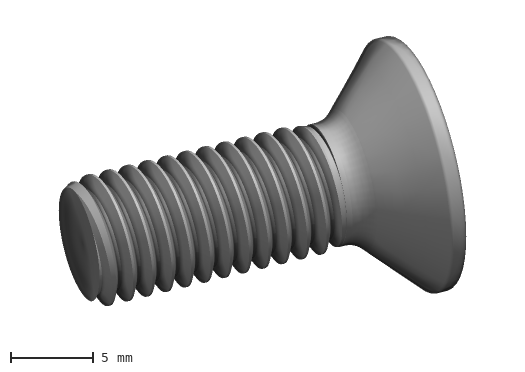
import cadquery as cq
import math

length = 22.0

head_radius = 7.9
face_fillet = 0.3
rim_end = 0.88
rim_fillet = 0.26
neck_radius = 3.8
neck_fillet = 1.9
neck_end = 6.23
cone_angle = math.radians(45)

ten_turns_length = 12.5
pitch = ten_turns_length / 10
major_radius = 4.0
root_radius = 3.23
flank_angle = math.radians(30)
crest_width = pitch / 8
first_groove_depth = 6.93
lead_in_start = 6.6
lead_in_end = 7.37
lead_in_radius = 3.76
tip_radius = 3.55
tip_chamfer_length = 0.8
dimple_radius = 3.28
dimple_depth = 0.18
shank_start = 4.4
cutter_clearance = 0.07
seam_turn = 17.0


def make_head():
    """Revolve the rim, countersink cone and filleted neck."""
    sine = math.sin(cone_angle)
    cosine = math.cos(cone_angle)
    cone_start_radius = head_radius - rim_fillet * (1 - cosine)
    cone_start_depth = rim_end + rim_fillet * sine
    cone_end_radius = neck_radius + neck_fillet * (1 - cosine)
    cone_end_depth = cone_start_depth + (cone_start_radius - cone_end_radius) / math.tan(cone_angle)
    neck_start_depth = cone_end_depth + neck_fillet * sine
    half_sine = math.sin(cone_angle / 2)
    half_drop = 1 - math.cos(cone_angle / 2)
    corner = face_fillet * (1 - math.sqrt(0.5))
    return (
        cq.Workplane("XY")
        .moveTo(0, 0)
        .lineTo(head_radius - face_fillet, 0)
        .threePointArc((head_radius - corner, -corner), (head_radius, -face_fillet))
        .lineTo(head_radius, -rim_end)
        .threePointArc(
            (head_radius - rim_fillet * half_drop, -rim_end - rim_fillet * half_sine),
            (cone_start_radius, -cone_start_depth),
        )
        .lineTo(cone_end_radius, -cone_end_depth)
        .threePointArc(
            (neck_radius + neck_fillet * half_drop, -neck_start_depth + neck_fillet * half_sine),
            (neck_radius, -neck_start_depth),
        )
        .lineTo(neck_radius, -neck_end)
        .lineTo(0, -neck_end)
        .close()
        .revolve(360, (0, 0), (0, 1))
    )


def make_shank():
    """Revolve the unthreaded shank with its lead-in, tip chamfer and tip hollow."""
    return (
        cq.Workplane("XY")
        .moveTo(0, -shank_start)
        .lineTo(lead_in_radius, -shank_start)
        .lineTo(lead_in_radius, -lead_in_start)
        .lineTo(major_radius, -lead_in_end)
        .lineTo(major_radius, -length + tip_chamfer_length)
        .lineTo(tip_radius, -length)
        .lineTo(dimple_radius, -length)
        .lineTo(0, -length + dimple_depth)
        .close()
        .revolve(360, (0, 0), (0, 1))
    )


def make_groove_turn():
    """Sweep one right-hand turn of the V groove along Z, then turn it onto the Y axis."""
    outer_radius = major_radius + cutter_clearance
    outer_half = (pitch - crest_width) / 2 + cutter_clearance * math.tan(flank_angle)
    root_half = (pitch - crest_width) / 2 - (major_radius - root_radius) * math.tan(flank_angle)
    helix = cq.Wire.makeHelix(pitch, pitch, root_radius)
    groove_turn = (
        cq.Workplane("XZ")
        .polyline([
            (root_radius, -root_half),
            (outer_radius, -outer_half),
            (outer_radius, outer_half),
            (root_radius, root_half),
        ])
        .close()
        .sweep(cq.Workplane(helix), isFrenet=True)
    )
    return groove_turn.rotate((0, 0, 0), (1, 0, 0), -90)


def cut_thread(shank):
    """Cut the groove turn by turn, from under the neck to past the tip."""
    groove_turn = make_groove_turn()
    turns_below = math.ceil((length - first_groove_depth) / pitch) + 1
    for turn in range(-1, turns_below):
        turn_bottom = -first_groove_depth - turn * pitch
        shank = shank.cut(groove_turn.translate((0, turn_bottom, 0)))
    return shank


shank = make_shank().rotate((0, 0, 0), (0, 1, 0), seam_turn)

result = make_head().union(cut_thread(shank))